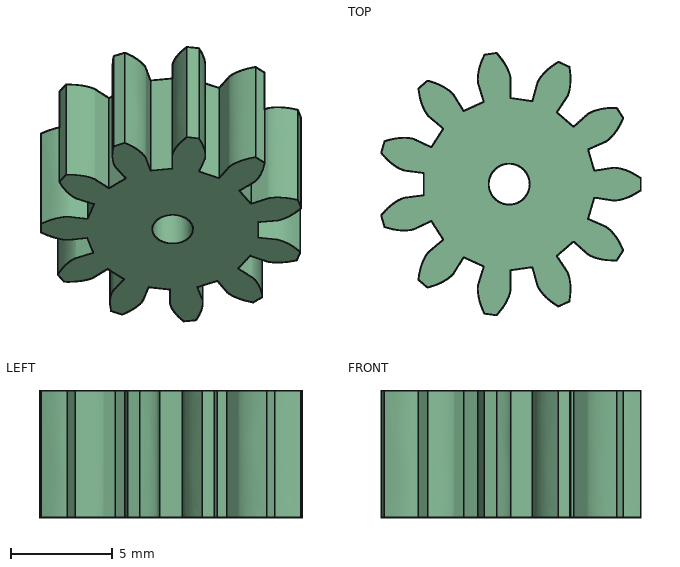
import cadquery as cq
import math

OVERALL_WIDTH = 12.94
FACE_WIDTH = 6.25
BORE_DIAMETER = 2.0
TOOTH_COUNT = 11
PRESSURE_ANGLE = math.radians(20)
ADDENDUM_FACTOR = 1
DEDENDUM_FACTOR = 1.25
FLANK_STEPS = 8

TOOTH_PITCH_ANGLE = 2 * math.pi / TOOTH_COUNT

PITCH_HALF_ANGLE = TOOTH_PITCH_ANGLE / 4
BASE_HALF_ANGLE = PITCH_HALF_ANGLE + math.tan(PRESSURE_ANGLE) - PRESSURE_ANGLE
TIP_TO_BASE_RATIO = (1 + 2 * ADDENDUM_FACTOR / TOOTH_COUNT) / math.cos(PRESSURE_ANGLE)
TIP_ROLL = math.sqrt(TIP_TO_BASE_RATIO**2 - 1)
TIP_HALF_ANGLE = BASE_HALF_ANGLE - (TIP_ROLL - math.atan(TIP_ROLL))

TOP_TOOTH_ANGLE = round(TOOTH_COUNT / 4) * TOOTH_PITCH_ANGLE
OUTER_RADIUS = OVERALL_WIDTH / 2 / math.sin(TOP_TOOTH_ANGLE - TIP_HALF_ANGLE)
MODULE = 2 * OUTER_RADIUS / (TOOTH_COUNT + 2 * ADDENDUM_FACTOR)
PITCH_RADIUS = MODULE * TOOTH_COUNT / 2
ROOT_RADIUS = PITCH_RADIUS - DEDENDUM_FACTOR * MODULE
BASE_RADIUS = PITCH_RADIUS * math.cos(PRESSURE_ANGLE)


def polar(radius, angle):
    return (radius * math.cos(angle), radius * math.sin(angle))


def flank_points(tooth_angle, side):
    """Involute from base circle to tip; side is -1 or +1 about the tooth centre line."""
    points = []
    for step in range(FLANK_STEPS + 1):
        roll = TIP_ROLL * step / FLANK_STEPS
        radius = BASE_RADIUS * math.hypot(1, roll)
        half_angle = BASE_HALF_ANGLE - (roll - math.atan(roll))
        points.append(polar(radius, tooth_angle + side * half_angle))
    return points


def gear_outline():
    """Closed profile: radial lower flanks, involute upper flanks, flat tips and gaps."""
    outline = cq.Workplane("XY").moveTo(*polar(ROOT_RADIUS, -BASE_HALF_ANGLE))
    for tooth in range(TOOTH_COUNT):
        tooth_angle = tooth * TOOTH_PITCH_ANGLE
        rising = flank_points(tooth_angle, -1)
        falling = flank_points(tooth_angle, 1)[::-1]
        if tooth > 0:
            outline = outline.lineTo(*polar(ROOT_RADIUS, tooth_angle - BASE_HALF_ANGLE))
        outline = outline.lineTo(*rising[0])
        outline = outline.spline(rising[1:], includeCurrent=True)
        outline = outline.lineTo(*falling[0])
        outline = outline.spline(falling[1:], includeCurrent=True)
        outline = outline.lineTo(*polar(ROOT_RADIUS, tooth_angle + BASE_HALF_ANGLE))
    return outline.close()


gear = gear_outline().extrude(FACE_WIDTH)
bore = cq.Workplane("XY").circle(BORE_DIAMETER / 2).extrude(FACE_WIDTH)
result = gear.cut(bore)